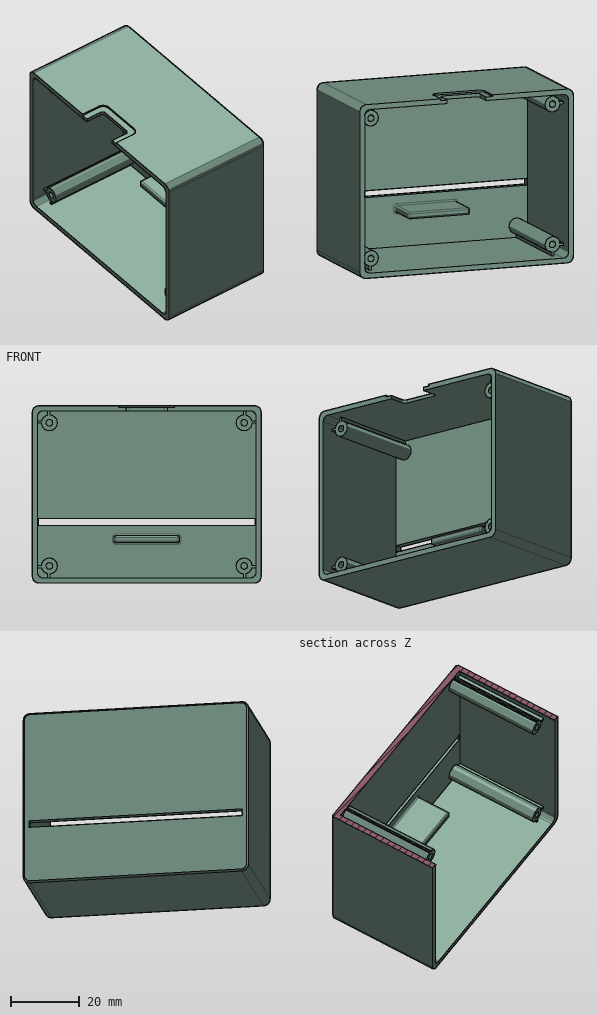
import cadquery as cq

width = 66.6
depth = 35.0
height = 51.6
wall = 1.5
back_wall = 2.0
corner_radius = 2.0
inner_corner_radius = 1.65
back_edge_chamfer = 0.5
inner_depth = depth - back_wall

post_inset = 5.0
post_diameter = 4.6
post_hole_diameter = 1.9
post_recess = 4.0
post_length = inner_depth - post_recess
rib_thickness = 0.65
rib_shift = 0.2

slot_width = 63.1
slot_height = 2.0
slot_center_z = 17.8

shelf_width = 19.0
shelf_thickness = 2.0
shelf_reach = 11.0
shelf_center_z = 12.8
shelf_edge_radius = 0.5
root_tolerance = 0.05

notch_width = 12.1
notch_length = 6.0
notch_corner_radius = 1.0
step_margin = 2.0
step_width = notch_width + 2 * step_margin
step_length = notch_length + step_margin
step_corner_radius = 2.0
step_depth = 0.5


def block(size_x, size_z, front_y, back_y, center_z, center_x=0):
    """Block centred on (center_x, center_z) that runs from front_y to back_y."""
    center_y = (front_y + back_y) / 2
    return cq.Workplane("XY").box(size_x, back_y - front_y, size_z).translate((center_x, center_y, center_z))


def make_case():
    outside = block(width, height, 0, depth, height / 2).edges("|Y").fillet(corner_radius)
    outside = outside.faces(">Y").edges().chamfer(back_edge_chamfer)
    inside = block(width - 2 * wall, height - 2 * wall, 0, inner_depth, height / 2)
    return outside.cut(inside.edges("|Y").fillet(inner_corner_radius))


def make_slot():
    return block(slot_width, slot_height, inner_depth, depth, slot_center_z)


def add_shelf(body):
    front_y = inner_depth - shelf_reach
    shelf = block(shelf_width, shelf_thickness, front_y, inner_depth, shelf_center_z)
    shelf = shelf.edges("|Y").fillet(shelf_edge_radius)
    shelf = shelf.faces("<Y").edges().fillet(shelf_edge_radius)
    half_x = shelf_width / 2 + root_tolerance
    half_z = shelf_thickness / 2 + root_tolerance
    root_edges = cq.selectors.BoxSelector(
        (-half_x, inner_depth - root_tolerance, shelf_center_z - half_z),
        (half_x, inner_depth + root_tolerance, shelf_center_z + half_z),
    )
    return body.union(shelf).edges(root_edges).fillet(shelf_edge_radius)


def make_post(side_x, side_z):
    """Drilled post in the corner given by the two signs, tied to both side walls by ribs."""
    x = side_x * (width / 2 - post_inset)
    z = height / 2 + side_z * (height / 2 - post_inset)
    rib_length = post_inset - wall / 2
    rib_x = block(
        rib_length,
        rib_thickness,
        post_recess,
        inner_depth,
        center_z=z + side_z * rib_shift,
        center_x=x + side_x * rib_length / 2,
    )
    rib_z = block(
        rib_thickness,
        rib_length,
        post_recess,
        inner_depth,
        center_z=z + side_z * rib_length / 2,
        center_x=x + side_x * rib_shift,
    )
    axis = cq.Workplane("XZ", origin=(x, inner_depth, z))
    post = axis.circle(post_diameter / 2).extrude(post_length).union(rib_x).union(rib_z)
    return post.cut(axis.circle(post_hole_diameter / 2).extrude(post_length))


def make_pocket(size_x, length, radius, drop):
    """Pocket cut down from the top face and open to the front, with rounded back corners."""
    pocket = block(size_x, drop, 0, length, height - drop / 2)
    return pocket.faces(">Y").edges("|Z").fillet(radius)


notch = make_pocket(notch_width, notch_length, notch_corner_radius, wall)
notch_step = make_pocket(step_width, step_length, step_corner_radius, step_depth)

result = add_shelf(make_case().cut(make_slot()))
for side_x in (-1, 1):
    for side_z in (-1, 1):
        result = result.union(make_post(side_x, side_z))
result = result.cut(notch).cut(notch_step)